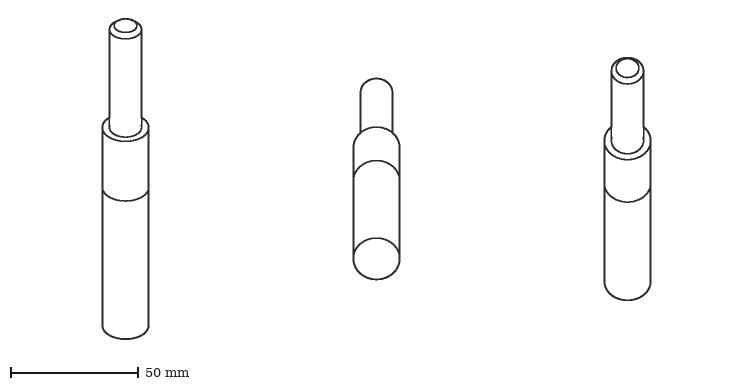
import cadquery as cq

total_length = 152.4
body_diameter = 18.3
stem_diameter = 12.6
stem_length = 50.0
point_height = 5.3
joint_height = 73.2
chamfer_width = 1.8
chamfer_height = 1.8

body_radius = body_diameter / 2
stem_radius = stem_diameter / 2
shoulder_height = total_length - stem_length


def make_pointed_rod():
    """Lower body: a cylinder ending in a conical point."""
    profile = (
        cq.Workplane("XZ")
        .moveTo(0, 0)
        .lineTo(body_radius, point_height)
        .lineTo(body_radius, joint_height)
        .lineTo(0, joint_height)
        .close()
    )
    return profile.revolve(360, (0, 0), (0, 1))


def make_shank():
    """Upper body: a collar as wide as the rod, with a narrower chamfered stem."""
    profile = (
        cq.Workplane("XZ")
        .moveTo(0, joint_height)
        .lineTo(body_radius, joint_height)
        .lineTo(body_radius, shoulder_height)
        .lineTo(stem_radius, shoulder_height)
        .lineTo(stem_radius, total_length - chamfer_height)
        .lineTo(stem_radius - chamfer_width, total_length)
        .lineTo(0, total_length)
        .close()
    )
    return profile.revolve(360, (0, 0), (0, 1))


pointed_rod = make_pointed_rod()
shank = make_shank()

result = cq.Compound.makeCompound([pointed_rod.val(), shank.val()])